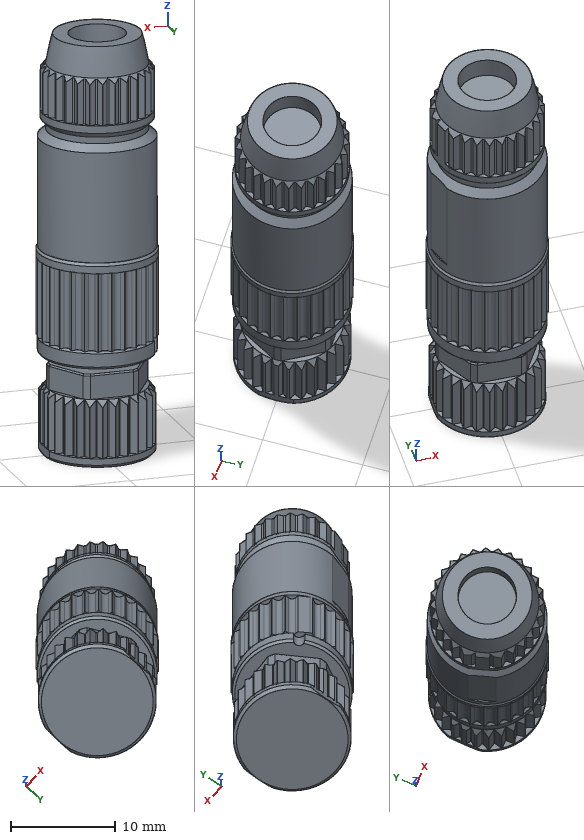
import cadquery as cq
import math

NUT_GROOVE_BOTTOM_Z = 0.95
NUT_TOP_Z = 6.7
HEX_TOP_Z = 9.2
COLLAR_BOTTOM_Z = 9.95
GRIP_BOTTOM_Z = 11.75
GRIP_GROOVE_TOP_Z = 19.65
GRIP_TOP_Z = 20.68
BODY_FLAT_BOTTOM_Z = 21.7
BODY_SHOULDER_Z = 31.75
NECK_BOTTOM_Z = 32.45
CAP_BOTTOM_Z = 33.1
CAP_GROOVE_BOTTOM_Z = 34.4
CAP_TOP_Z = 39.05
TOTAL_HEIGHT = 42.0

NUT_RADIUS = 5.65
STEM_RADIUS = 6.1 / 2
COLLAR_RADIUS = 11.5 / 2
GRIP_RADIUS = 11.78 / 2
BODY_RADIUS = COLLAR_RADIUS
NECK_RADIUS = 9.9 / 2
CAP_RADIUS = 11.0 / 2
NOSE_TOP_RADIUS = 4.3
NOSE_BULGE = 0.05
BORE_RADIUS = 5.6 / 2
BORE_DEPTH = 2.0

NUT_TOP_CHAMFER = 0.65
NUT_BOTTOM_CHAMFER = 0.3
COLLAR_BOTTOM_CHAMFER = 0.25
COLLAR_TOP_CHAMFER_HEIGHT = 0.2
COLLAR_TOP_CHAMFER_WIDTH = 0.35
GRIP_CHAMFER = 0.3
CAP_CHAMFER = CAP_RADIUS - NECK_RADIUS

HEX_ACROSS_FLATS = 9.0
HEX_CORNER_RADIUS = 5.0
HEX_CHAMFER = 0.15

TOOTH_COUNT = 28
PITCH_ANGLE = 360 / TOOTH_COUNT
CREST_WIDTH = 0.03
NUT_GROOVE_DEPTH = 0.58
NUT_ROOT_WIDTH = 0.12
CAP_GROOVE_DEPTH = 0.44
CAP_ROOT_WIDTH = 0.2
GRIP_GROOVE_DEPTH = 0.45
GRIP_ROOT_WIDTH = 0.65
GRIP_ROOT_SAG = 0.13
GRIP_GROOVE_OFFSET_ANGLE = 1.84

NUT_FLAT_DISTANCE = 5.38
MARKER_ANGLE = 180 + 1.5 * PITCH_ANGLE
BODY_FLAT_DISTANCE = 5.59
CAP_FLAT_DISTANCE = 5.34
NOTCH_ANGLE = 150
NOTCH_RADIUS = 1.1 / 2
GRIP_FLAT_DISTANCE = 5.8
GRIP_PLAIN_GROOVE_INDEX = -2

PAD_PLAIN_GROOVES = 3
PAD_RELIEF_HALF_ANGLE = math.radians(PAD_PLAIN_GROOVES * PITCH_ANGLE / 2)
PAD_HALF_WIDTH = 0.66
PAD_SLOT_ROOT_OFFSET = 0.72
PAD_SLOT_ROOT_DISTANCE = 5.0
PAD_SLOT_OUTER_OFFSET = 1.07
PAD_RELIEF_DISTANCE = CAP_RADIUS * math.cos(PAD_RELIEF_HALF_ANGLE)
PAD_RELIEF_OFFSET = CAP_RADIUS * math.sin(PAD_RELIEF_HALF_ANGLE)


def turned(points):
    """Revolve a closed (radius, height) outline about Z."""
    return cq.Workplane("XZ").polyline(points).close().revolve(360, (0, 0), (0, 1))


def cylinder(radius, bottom_z, top_z):
    return cq.Workplane("XY").workplane(offset=bottom_z).circle(radius).extrude(top_z - bottom_z)


def cut_flat(solid, distance, angle, bottom_z, top_z):
    """Cut a flat facing the given angle at a distance from the axis."""
    thickness = GRIP_RADIUS
    cutter = (
        cq.Workplane("XY")
        .workplane(offset=bottom_z)
        .center(distance + thickness / 2, 0)
        .rect(thickness, 2 * GRIP_RADIUS)
        .extrude(top_z - bottom_z)
        .rotate((0, 0, 0), (0, 0, 1), angle)
    )
    return solid.cut(cutter)


def groove_cutter(radius, depth, root_width, root_sag, bottom_z, top_z):
    """Groove on +X with straight walls and a flat or rounded root."""
    half_pitch = math.pi / TOOTH_COUNT
    half_mouth = radius * math.sin(half_pitch) - CREST_WIDTH / 2
    mouth_x = radius * math.cos(half_pitch)
    half_root = root_width / 2
    root_x = radius - depth
    outer_x = radius + depth
    profile = (
        cq.Workplane("XY")
        .workplane(offset=bottom_z)
        .moveTo(outer_x, -half_mouth)
        .lineTo(mouth_x, -half_mouth)
        .lineTo(root_x + root_sag, -half_root)
    )
    if root_sag > 0:
        profile = profile.threePointArc((root_x, 0), (root_x + root_sag, half_root))
    else:
        profile = profile.lineTo(root_x, half_root)
    profile = profile.lineTo(mouth_x, half_mouth).lineTo(outer_x, half_mouth).close()
    return profile.extrude(top_z - bottom_z)


def cut_grooves(solid, groove, first_angle, plain_angle=0, plain_count=0):
    """Cut one groove per tooth, leaving out plain_count grooves around plain_angle."""
    plain_cosine = math.cos(math.radians(plain_count * PITCH_ANGLE / 2))
    cutters = []
    for index in range(TOOTH_COUNT):
        angle = first_angle + index * PITCH_ANGLE
        if plain_count == 0 or math.cos(math.radians(angle - plain_angle)) < plain_cosine:
            cutters.append(groove.rotate((0, 0, 0), (0, 0, 1), angle).val())
    return solid.cut(cq.Workplane(cq.Compound.makeCompound(cutters)))


def make_nut():
    """Knurled coupling nut with two opposite flats."""
    nut = cylinder(NUT_RADIUS, 0, NUT_TOP_Z)
    nut = nut.faces(">Z").chamfer(NUT_TOP_CHAMFER).faces("<Z").chamfer(NUT_BOTTOM_CHAMFER)
    for angle in (0, 180):
        nut = cut_flat(nut, NUT_FLAT_DISTANCE, angle, 0, NUT_TOP_Z)
    groove = groove_cutter(
        NUT_RADIUS, NUT_GROOVE_DEPTH, NUT_ROOT_WIDTH, 0, NUT_GROOVE_BOTTOM_Z, NUT_TOP_Z
    )
    return cut_grooves(nut, groove, PITCH_ANGLE / 2)


def make_hexagon():
    """Wrench hexagon, corners on the X axis, with rounded-off corners."""
    height = HEX_TOP_Z - NUT_TOP_Z
    corner_diameter = HEX_ACROSS_FLATS / math.cos(math.pi / 6)
    hexagon = cq.Workplane("XY").workplane(offset=NUT_TOP_Z).polygon(6, corner_diameter).extrude(height)
    envelope = cylinder(HEX_CORNER_RADIUS, NUT_TOP_Z, HEX_TOP_Z)
    return hexagon.intersect(envelope).faces(">Z").chamfer(HEX_CHAMFER)


def make_collar():
    """Plain ring below the grip, with a round marker notch."""
    collar = turned(
        [
            (0, COLLAR_BOTTOM_Z),
            (COLLAR_RADIUS - COLLAR_BOTTOM_CHAMFER, COLLAR_BOTTOM_Z),
            (COLLAR_RADIUS, COLLAR_BOTTOM_Z + COLLAR_BOTTOM_CHAMFER),
            (COLLAR_RADIUS, GRIP_BOTTOM_Z - COLLAR_TOP_CHAMFER_HEIGHT),
            (COLLAR_RADIUS - COLLAR_TOP_CHAMFER_WIDTH, GRIP_BOTTOM_Z),
            (0, GRIP_BOTTOM_Z),
        ]
    )
    notch = (
        cylinder(NOTCH_RADIUS, COLLAR_BOTTOM_Z, GRIP_BOTTOM_Z)
        .translate((COLLAR_RADIUS, 0, 0))
        .rotate((0, 0, 0), (0, 0, 1), NOTCH_ANGLE)
    )
    return collar.cut(notch)


def make_grip():
    """Knurled grip ring with round-bottomed grooves and one plain flat."""
    grip = cylinder(GRIP_RADIUS, GRIP_BOTTOM_Z, GRIP_TOP_Z).faces(">Z").chamfer(GRIP_CHAMFER)
    grip = cut_flat(grip, GRIP_FLAT_DISTANCE, NOTCH_ANGLE, GRIP_BOTTOM_Z, GRIP_GROOVE_TOP_Z)
    groove = groove_cutter(
        GRIP_RADIUS, GRIP_GROOVE_DEPTH, GRIP_ROOT_WIDTH, GRIP_ROOT_SAG, GRIP_BOTTOM_Z, GRIP_GROOVE_TOP_Z
    )
    first_angle = 180 + GRIP_GROOVE_OFFSET_ANGLE
    plain_angle = first_angle + GRIP_PLAIN_GROOVE_INDEX * PITCH_ANGLE
    return cut_grooves(grip, groove, first_angle, plain_angle, plain_count=1)


def make_body():
    """Smooth sleeve with a conical shoulder and a marking flat."""
    body = turned(
        [
            (0, GRIP_TOP_Z),
            (BODY_RADIUS, GRIP_TOP_Z),
            (BODY_RADIUS, BODY_SHOULDER_Z),
            (NECK_RADIUS, NECK_BOTTOM_Z),
            (0, NECK_BOTTOM_Z),
        ]
    )
    return cut_flat(body, BODY_FLAT_DISTANCE, MARKER_ANGLE, BODY_FLAT_BOTTOM_Z, NECK_BOTTOM_Z)


def pad_relief(side):
    """Stepped cut that replaces the groove on one side (-1 or 1) of the cap pad."""
    outer_distance = CAP_RADIUS + CAP_GROOVE_DEPTH
    return (
        cq.Workplane("XY")
        .workplane(offset=CAP_GROOVE_BOTTOM_Z)
        .moveTo(outer_distance, side * PAD_HALF_WIDTH)
        .lineTo(CAP_FLAT_DISTANCE, side * PAD_HALF_WIDTH)
        .lineTo(PAD_SLOT_ROOT_DISTANCE, side * PAD_SLOT_ROOT_OFFSET)
        .lineTo(PAD_RELIEF_DISTANCE, side * PAD_SLOT_OUTER_OFFSET)
        .lineTo(PAD_RELIEF_DISTANCE, side * PAD_RELIEF_OFFSET)
        .lineTo(outer_distance, side * PAD_RELIEF_OFFSET)
        .close()
        .extrude(CAP_TOP_Z - CAP_GROOVE_BOTTOM_Z)
        .rotate((0, 0, 0), (0, 0, 1), MARKER_ANGLE)
    )


def make_cap():
    """Knurled clamping cap with a marker flat in place of three grooves."""
    cap = cylinder(CAP_RADIUS, CAP_BOTTOM_Z, CAP_TOP_Z).faces("<Z or >Z").chamfer(CAP_CHAMFER)
    cap = cut_flat(cap, CAP_FLAT_DISTANCE, MARKER_ANGLE, CAP_BOTTOM_Z, CAP_TOP_Z)
    groove = groove_cutter(
        CAP_RADIUS, CAP_GROOVE_DEPTH, CAP_ROOT_WIDTH, 0, CAP_GROOVE_BOTTOM_Z, CAP_TOP_Z
    )
    cap = cut_grooves(cap, groove, PITCH_ANGLE / 2, MARKER_ANGLE, PAD_PLAIN_GROOVES)
    for side in (-1, 1):
        cap = cap.cut(pad_relief(side))
    return cap


def make_nose():
    """Slightly bulged conical nose with a blind cable bore."""
    middle = ((NECK_RADIUS + NOSE_TOP_RADIUS) / 2 + NOSE_BULGE, (CAP_TOP_Z + TOTAL_HEIGHT) / 2)
    nose = (
        cq.Workplane("XZ")
        .moveTo(0, CAP_TOP_Z)
        .lineTo(NECK_RADIUS, CAP_TOP_Z)
        .threePointArc(middle, (NOSE_TOP_RADIUS, TOTAL_HEIGHT))
        .lineTo(0, TOTAL_HEIGHT)
        .close()
        .revolve(360, (0, 0), (0, 1))
    )
    return nose.cut(cylinder(BORE_RADIUS, TOTAL_HEIGHT - BORE_DEPTH, TOTAL_HEIGHT))


result = (
    make_nut()
    .union(make_hexagon())
    .union(cylinder(STEM_RADIUS, HEX_TOP_Z, COLLAR_BOTTOM_Z))
    .union(make_collar())
    .union(make_grip())
    .union(make_body())
    .union(cylinder(NECK_RADIUS, NECK_BOTTOM_Z, CAP_BOTTOM_Z))
    .union(make_cap())
    .union(make_nose())
)